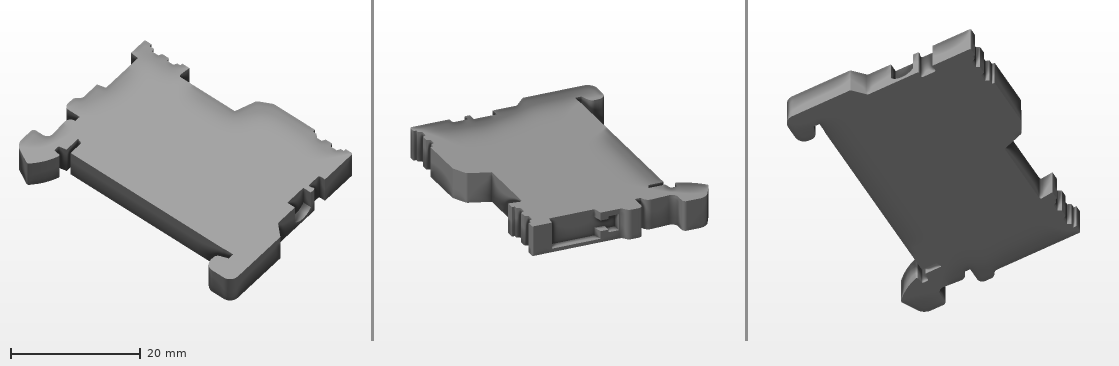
import cadquery as cq
import math

LENGTH = 43.5
HEIGHT = 33.5
THICKNESS = 5.1

BODY_LEFT = 1.93
BODY_RIGHT = 41.43
LOW_TOP = 30.85
VALLEY_Y = 28.55
RAIL_SEAT_Y = 5.85
RAIL_SEAT_STEP = 0.06
SHOULDER_RADIUS = 0.25

LOW_TOWER_RIGHT = 10.87
VALLEY_LEFT = 10.6
VALLEY_RIGHT = 21.85
VALLEY_RADIUS = 0.35
FLANK_TOP = (23.15, 32.25)
FLANK_RADIUS = 0.5
HIGH_TOP_LEFT = 25.6

LOW_TEETH_X = 3.3
HIGH_TEETH_X = 33.85
TOOTH_ROW_LENGTH = 6.15
TOOTH_SHELF_DEPTH = 0.47
TOOTH_GROOVE_DEPTH = 1.07
GROOVE_STARTS = (0.72, 3.75)
GROOVE_WIDTH = 1.8
GROOVE_SLOPE = 0.3

NOTCH_X = 40.25
NOTCH_TOP = 26.7
NOTCH_BOTTOM = 24.13
NOTCH_TOP_RADIUS = 0.3
NOTCH_BOTTOM_RADIUS = 0.2
NOTCH_LIP_X = 40.9
NOTCH_LIP_SLOPE = 0.1
NOTCH_LIP_HEIGHT = 0.12

FLARE_TOP = 15.25
FLARE_BOTTOM = 13.3
FLARE_RADIUS = 0.5

HOOK_TIP_X = 38.1
HOOK_TIP_Y = 4.15
HOOK_THROAT_X = 40.1
HOOK_THROAT_Y = 4.87
HOOK_BOTTOM = 1.37
HOOK_RADIUS = 1.6
HOOK_TIP_RADIUS = 0.9
SEAT_RAMP_START = 38.07
SEAT_RAMP_END = 38.6

RELIEF_LEFT = 6.68
RELIEF_RIGHT = 7.6
RELIEF_LEFT_TOP = 8.8
RELIEF_RIGHT_TOP = 8.45

FOOT_TOP = 5.97
FOOT_TOP_RADIUS = 0.6
FOOT_LATCH_INNER = (5.3, 4.65)
FOOT_LATCH_RADIUS = 0.2
FOOT_LATCH_TOP = (5.3, 5.7)
FOOT_LATCH_TIP = (6.7, 4.45)
FOOT_LATCH_TIP_RADIUS = 0.28
FOOT_FLANK = (5.81, 1.97)
FOOT_FLANK_RADIUS = 10.3
FOOT_POINT = (3.78, -0.105)
FOOT_POINT_RADIUS = 0.45
FOOT_HEEL_Y = 1.97
FOOT_HEEL_RADIUS = 2.1

NECK_BOTTOM_X = 3.1
NECK_BOTTOM_RADIUS = 1.05
NECK_TOP = (2.75, 11.35)
NECK_TOP_RADIUS = 1.2
CATCH_GAP_X = 4.03
CATCH_LEFT = 0.89
CATCH_BOTTOM = 12.4
CATCH_TOP = 14.9
CATCH_BOTTOM_RADIUS = 0.87
CATCH_TOP_RADIUS = 1.0
CATCH_ROOT_Y = 15.6
CATCH_ROOT_RADIUS = 0.8

SNAP_DEPTH = 1.5
POCKET_TOP = 27.5
POCKET_BOTTOM = 19.2
POCKET_FLOOR_Z = 0.6
POCKET_TOP_TAPER = 0.13
POCKET_LAND = 0.4
POCKET_BOTTOM_TAPER = 0.35

SLOT_MIDDLE_Z = 2.82
NARROW_SLOT_WIDTH = 1.85
NARROW_SLOT_END = 17.85
WIDE_SLOT_WIDTH = 2.75
WIDE_SLOT_END = 16.1

RECESS_TOP = 23.25
RECESS_BOTTOM = 19.35
RECESS_RADIUS = 2.4
RECESS_FLOOR_Z = POCKET_FLOOR_Z


def tooth_row(start_x, top_y):
    """Sharp corners of one toothed edge, from left to right."""
    shelf_y = top_y - TOOTH_SHELF_DEPTH
    groove_y = top_y - TOOTH_GROOVE_DEPTH
    end_x = start_x + TOOTH_ROW_LENGTH
    corners = [(start_x, top_y, 0), (start_x, shelf_y, 0)]
    for offset in GROOVE_STARTS:
        left = start_x + offset
        right = left + GROOVE_WIDTH
        corners += [
            (left, shelf_y, 0),
            (left + GROOVE_SLOPE, groove_y, 0),
            (right - GROOVE_SLOPE, groove_y, 0),
            (right, shelf_y, 0),
        ]
    return corners + [(end_x, shelf_y, 0), (end_x, top_y, 0)]


def top_edge():
    """Low terminal, valley and high terminal, from left to right."""
    return [
        (BODY_LEFT, LOW_TOP, SHOULDER_RADIUS),
        *tooth_row(LOW_TEETH_X, LOW_TOP),
        (LOW_TOWER_RIGHT, LOW_TOP, 0),
        (VALLEY_LEFT, VALLEY_Y, VALLEY_RADIUS),
        (VALLEY_RIGHT, VALLEY_Y, 0),
        (*FLANK_TOP, FLANK_RADIUS),
        (HIGH_TOP_LEFT, HEIGHT, SHOULDER_RADIUS),
        *tooth_row(HIGH_TEETH_X, HEIGHT),
        (BODY_RIGHT, HEIGHT, SHOULDER_RADIUS),
    ]


def right_edge():
    """Notch and flare of the right wall, from top to bottom."""
    lip_y = NOTCH_BOTTOM + NOTCH_LIP_HEIGHT
    return [
        (BODY_RIGHT, NOTCH_TOP, 0),
        (NOTCH_X, NOTCH_TOP, NOTCH_TOP_RADIUS),
        (NOTCH_X, NOTCH_BOTTOM, NOTCH_BOTTOM_RADIUS),
        (NOTCH_LIP_X, NOTCH_BOTTOM, 0),
        (NOTCH_LIP_X + NOTCH_LIP_SLOPE, lip_y, 0),
        (BODY_RIGHT, lip_y, SHOULDER_RADIUS),
        (BODY_RIGHT, FLARE_TOP, FLARE_RADIUS),
        (LENGTH, FLARE_BOTTOM, 0),
    ]


def bottom_edge():
    """Fixed hook, rail seat and relief slot, from right to left."""
    seat_end_y = RAIL_SEAT_Y + RAIL_SEAT_STEP
    return [
        (LENGTH, HOOK_BOTTOM, HOOK_RADIUS),
        (HOOK_TIP_X, HOOK_BOTTOM, HOOK_RADIUS),
        (HOOK_TIP_X, HOOK_TIP_Y, HOOK_TIP_RADIUS),
        (HOOK_THROAT_X, HOOK_THROAT_Y, 0),
        (HOOK_THROAT_X, seat_end_y, 0),
        (SEAT_RAMP_END, seat_end_y, 0),
        (SEAT_RAMP_START, RAIL_SEAT_Y, 0),
        (RELIEF_RIGHT, RAIL_SEAT_Y, 0),
        (RELIEF_RIGHT, RELIEF_RIGHT_TOP, 0),
        (RELIEF_LEFT, RELIEF_LEFT_TOP, 0),
        (RELIEF_LEFT, FOOT_TOP, 0),
    ]


def left_edge():
    """Spring foot, neck and catch, clockwise up to the left wall."""
    neck_top_y = NECK_TOP[1]
    return [
        (*FOOT_LATCH_TOP, FOOT_LATCH_RADIUS),
        (*FOOT_LATCH_INNER, FOOT_LATCH_RADIUS),
        (*FOOT_LATCH_TIP, FOOT_LATCH_TIP_RADIUS),
        (*FOOT_FLANK, FOOT_FLANK_RADIUS),
        (*FOOT_POINT, FOOT_POINT_RADIUS),
        (0, FOOT_HEEL_Y, FOOT_HEEL_RADIUS),
        (0, FOOT_TOP, FOOT_TOP_RADIUS),
        (NECK_BOTTOM_X, FOOT_TOP, NECK_BOTTOM_RADIUS),
        (*NECK_TOP, NECK_TOP_RADIUS),
        (CATCH_GAP_X, neck_top_y, 0),
        (CATCH_GAP_X, CATCH_BOTTOM, 0),
        (CATCH_LEFT, CATCH_BOTTOM, CATCH_BOTTOM_RADIUS),
        (CATCH_LEFT, CATCH_TOP, CATCH_TOP_RADIUS),
        (BODY_LEFT, CATCH_ROOT_Y, CATCH_ROOT_RADIUS),
    ]


def toward(start, target, distance):
    """Point at a distance from start on the way to target."""
    share = distance / math.dist(start, target)
    return tuple(a + (b - a) * share for a, b in zip(start, target))


def rounded_corner(before, corner, after, radius):
    """Start, middle and end of the arc that rounds a corner."""
    heading_in = math.atan2(before[1] - corner[1], before[0] - corner[0])
    heading_out = math.atan2(after[1] - corner[1], after[0] - corner[0])
    half_angle = abs(math.remainder(heading_out - heading_in, math.tau)) / 2
    setback = radius / math.tan(half_angle)
    start = toward(corner, before, setback)
    end = toward(corner, after, setback)
    chord_middle = toward(start, end, math.dist(start, end) / 2)
    middle = toward(corner, chord_middle, radius / math.sin(half_angle) - radius)
    return start, middle, end


def make_body():
    """Extruded outline; its first corner is a rounded one."""
    corners = top_edge() + right_edge() + bottom_edge() + left_edge()
    profile = None
    for index, (x, y, radius) in enumerate(corners):
        if radius == 0:
            profile = profile.lineTo(x, y)
            continue
        before = corners[index - 1][:2]
        after = corners[(index + 1) % len(corners)][:2]
        start, middle, end = rounded_corner(before, (x, y), after, radius)
        if profile is None:
            profile = cq.Workplane("XY").moveTo(*start)
        else:
            profile = profile.lineTo(*start)
        profile = profile.threePointArc(middle, end)
    return profile.close().extrude(THICKNESS)


def box(x0, x1, y0, y1, z0, z1):
    """Box between two opposite corners."""
    return cq.Workplane("XY", origin=(x0, y0, z0)).box(x1 - x0, y1 - y0, z1 - z0, centered=False)


def snap_pocket():
    """Tapered pocket of the left wall."""
    back = BODY_LEFT + SNAP_DEPTH
    back_top = POCKET_TOP - POCKET_TOP_TAPER
    profile = [
        (BODY_LEFT, POCKET_TOP),
        (back - POCKET_LAND, back_top),
        (back, back_top),
        (back, POCKET_BOTTOM + POCKET_BOTTOM_TAPER),
        (BODY_LEFT, POCKET_BOTTOM),
    ]
    floor = cq.Workplane("XY", origin=(0, 0, POCKET_FLOOR_Z))
    return floor.polyline(profile).close().extrude(THICKNESS - POCKET_FLOOR_Z)


def slot_length(width, bottom_y, top_y):
    """One straight length of the stepped slot."""
    z0 = SLOT_MIDDLE_Z - width / 2
    return box(BODY_LEFT, BODY_LEFT + SNAP_DEPTH, bottom_y, top_y, z0, z0 + width)


def stepped_slot():
    """Narrow slot that leaves the pocket and widens at its lower end."""
    inside_pocket = POCKET_BOTTOM + POCKET_BOTTOM_TAPER
    narrow = slot_length(NARROW_SLOT_WIDTH, NARROW_SLOT_END, inside_pocket)
    wide = slot_length(WIDE_SLOT_WIDTH, WIDE_SLOT_END, NARROW_SLOT_END)
    return narrow.union(wide)


def round_recess():
    """Recess with upright walls and a floor that is an arc about the X direction."""
    back = BODY_RIGHT - SNAP_DEPTH
    half_width = (RECESS_TOP - RECESS_BOTTOM) / 2
    middle_y = (RECESS_TOP + RECESS_BOTTOM) / 2
    axis_z = RECESS_FLOOR_Z + RECESS_RADIUS
    floor_edge_z = axis_z - math.sqrt(RECESS_RADIUS**2 - half_width**2)
    return (
        cq.Workplane("YZ", origin=(back, 0, 0))
        .moveTo(RECESS_BOTTOM, THICKNESS)
        .lineTo(RECESS_BOTTOM, floor_edge_z)
        .threePointArc((middle_y, RECESS_FLOOR_Z), (RECESS_TOP, floor_edge_z))
        .lineTo(RECESS_TOP, THICKNESS)
        .close()
        .extrude(SNAP_DEPTH)
    )


result = make_body().cut(snap_pocket()).cut(stepped_slot()).cut(round_recess())